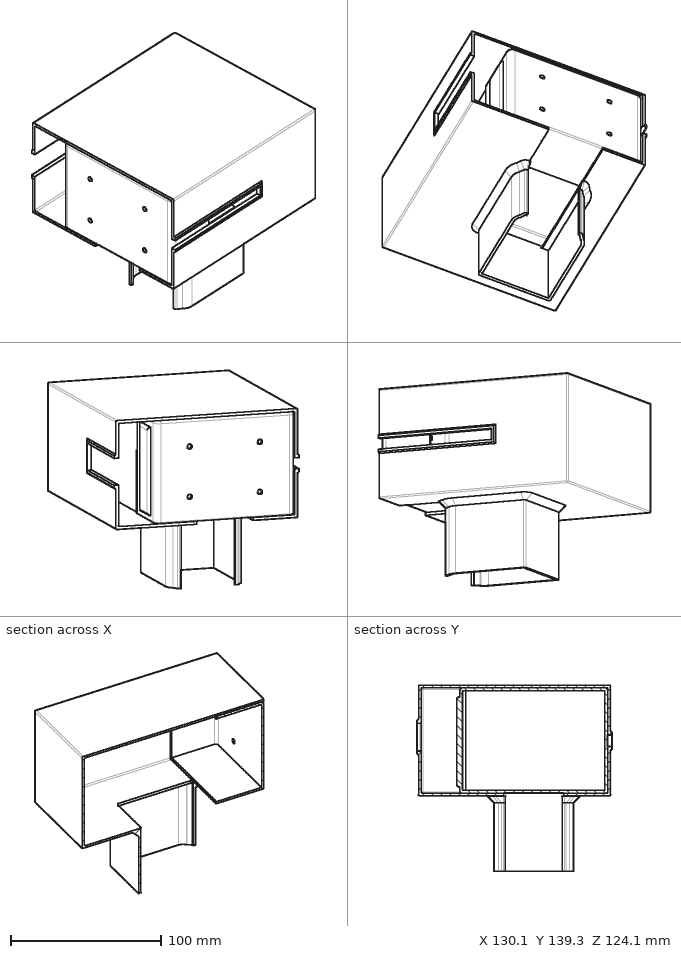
import cadquery as cq

BOX_WIDTH = 128.05
BOX_DEPTH = 139.3
BOX_HEIGHT = 74.0
WALL = 2.0
EDGE_RADIUS = 1.0
CAVITY_WIDTH = BOX_WIDTH - 2 * WALL
CAVITY_DEPTH = BOX_DEPTH - WALL
CAVITY_HEIGHT = BOX_HEIGHT - 2 * WALL
MID_HEIGHT = BOX_HEIGHT / 2

FRAME_HEIGHT = 1.0
FRAME_RIM = 1.75
LEFT_WINDOW_LENGTH = 55.0
LEFT_WINDOW_HEIGHT = 18.25
LEFT_WINDOW_Z = MID_HEIGHT + 2.25
LEFT_WINDOW_END_RADIUS = 1.1
RIGHT_WINDOW_LENGTH = 83.5
RIGHT_WINDOW_HEIGHT = 7.5
RIGHT_WINDOW_Z = MID_HEIGHT - 0.25

COVER_WIDTH = 98.5
COVER_DEPTH = 36.4
COVER_WALL = 2.0
COVER_SIDE_RADIUS = 4.0
COVER_TOP_RADIUS = 2.0
COVER_BOTTOM_RADIUS = 1.0
COVER_RIGHT = CAVITY_WIDTH / 2
COVER_LEFT = COVER_RIGHT - COVER_WIDTH
COVER_MID = (COVER_LEFT + COVER_RIGHT) / 2

RIB_HEIGHT = 60.0
RIB_LENGTH = 18.5
RIB_FRONT = 8.7
RIB_THICKNESS = 2.0
RIB_RADIUS = 1.95
COVER_FEATURE_Z = MID_HEIGHT - 1.0

HOLE_DIAMETER = 3.3
HOLE_SPACING_X = 49.5
HOLE_SPACING_Z = 34.0

HANDLE_WIDTH = 53.0
HANDLE_FRONT = 34.2
HANDLE_LENGTH = 61.7
HANDLE_DROP = 50.1
HANDLE_WALL = 2.0
HANDLE_REAR_RADIUS = 1.25
HANDLE_NOSE_RADIUS = 1.4
FLARE = 4.5
FLARE_ANGLE = 45.0
OPENING_WIDTH = 38.0
FLOOR_SLOT_WIDTH = 39.8
FLOOR_SLOT_RADIUS = 1.2
CHEEK_LENGTH = 10.2
CHEEK_INSET = 2.85
NOSE_LENGTH = 3.9
NOSE_INSET = 5.45
HANDLE_REAR = HANDLE_FRONT + HANDLE_LENGTH

PARTITION_INSET = 2.0
PARTITION_THICKNESS = 2.0
CATCH_LENGTH = 4.9
CATCH_TOP = BOX_HEIGHT - 29.6
CATCH_THICKNESS = 1.0


def corner_box(x, y, z, width, depth, height):
    """Box whose lowest corner sits at (x, y, z)."""
    return cq.Workplane("XY").box(width, depth, height, centered=False).translate((x, y, z))


def make_cavity():
    """Space inside the box, open at the front."""
    block = corner_box(-CAVITY_WIDTH / 2, 0, WALL, CAVITY_WIDTH, CAVITY_DEPTH, CAVITY_HEIGHT)
    return block.edges("not <Y").fillet(EDGE_RADIUS)


def window_frame(side, length, height, z):
    """Raised frame around a side window; side is -1 for left and +1 for right."""
    base_length = length + FRAME_RIM + FRAME_HEIGHT
    base_height = height + 2 * (FRAME_RIM + FRAME_HEIGHT)
    outer = side * (BOX_WIDTH / 2 + FRAME_HEIGHT)
    inner = side * ((BOX_WIDTH - WALL) / 2)
    frame = corner_box(
        min(outer, inner), 0, z - base_height / 2, abs(outer - inner), base_length, base_height
    )
    rim = frame.faces("<X" if side < 0 else ">X").edges("not <Y")
    return rim.chamfer(FRAME_HEIGHT)


def window_cut(side, length, height, z):
    """Opening through a side wall and its frame."""
    inner = side * CAVITY_WIDTH / 2
    outer = side * (BOX_WIDTH / 2 + FRAME_HEIGHT)
    return corner_box(min(inner, outer), 0, z - height / 2, abs(outer - inner), length, height)


def handle_prism():
    """Solid handle: flat sides, curved cheeks and a tapered nose on each side of the front."""
    half = HANDLE_WIDTH / 2
    cheek_end = (half - CHEEK_INSET, HANDLE_FRONT + NOSE_LENGTH)
    nose_x = half - NOSE_INSET
    half_outline = (
        cq.Workplane("XY")
        .moveTo(0, HANDLE_REAR)
        .lineTo(half, HANDLE_REAR)
        .lineTo(half, HANDLE_FRONT + CHEEK_LENGTH)
        .tangentArcPoint(cheek_end, relative=False)
        .lineTo(nose_x, HANDLE_FRONT)
        .lineTo(0, HANDLE_FRONT)
    )
    prism = half_outline.mirrorY().extrude(-HANDLE_DROP)
    prism = prism.edges("|Z and >Y").fillet(HANDLE_REAR_RADIUS)
    return prism.edges("|Z and <Y").fillet(HANDLE_NOSE_RADIUS)


def make_handle():
    """Handle tube with its flare under the box, open at the front and at the lower end."""
    prism = handle_prism()
    outline = prism.faces(">Z").wires().val()
    neck = outline.translate(cq.Vector(0, 0, -FLARE))
    flare_plane = cq.Workplane("XY", origin=(0, 0, -FLARE))
    flare = flare_plane.add(neck).toPending().extrude(FLARE, taper=-FLARE_ANGLE)
    bore = cq.Workplane("XY").add(outline.offset2D(-HANDLE_WALL)).toPending().extrude(-HANDLE_DROP)
    opening = corner_box(
        -OPENING_WIDTH / 2,
        HANDLE_FRONT - FLARE,
        -HANDLE_DROP,
        OPENING_WIDTH,
        FLARE + HANDLE_LENGTH / 2,
        HANDLE_DROP,
    )
    return prism.union(flare).cut(bore).cut(opening).translate((COVER_MID, 0, 0))


def make_floor_slot():
    """Slot in the box floor, from the front edge back to the rear wall of the handle."""
    length = HANDLE_REAR - HANDLE_WALL
    slot = corner_box(COVER_MID - FLOOR_SLOT_WIDTH / 2, 0, 0, FLOOR_SLOT_WIDTH, length, WALL)
    return slot.edges("|Z and >Y").fillet(FLOOR_SLOT_RADIUS)


def make_housing():
    box = corner_box(-BOX_WIDTH / 2, 0, 0, BOX_WIDTH, BOX_DEPTH, BOX_HEIGHT)
    box = box.edges("not <Y").fillet(EDGE_RADIUS)
    left = (-1, LEFT_WINDOW_LENGTH, LEFT_WINDOW_HEIGHT, LEFT_WINDOW_Z)
    right = (1, RIGHT_WINDOW_LENGTH, RIGHT_WINDOW_HEIGHT, RIGHT_WINDOW_Z)
    for window in (left, right):
        box = box.union(window_frame(*window))
    box = box.cut(make_cavity())
    for window in (left, right):
        box = box.cut(window_cut(*window))
    rounded_edge = cq.selectors.NearestToPointSelector(
        (-CAVITY_WIDTH / 2, LEFT_WINDOW_LENGTH, LEFT_WINDOW_Z)
    )
    box = box.edges("|Z").edges(rounded_edge).fillet(LEFT_WINDOW_END_RADIUS)
    return box.union(make_handle()).cut(make_floor_slot())


def make_cover():
    """Shell open at the rear, with a rounded front, a grip rib and four screw holes."""
    body = corner_box(COVER_LEFT, 0, WALL, COVER_WIDTH, COVER_DEPTH, CAVITY_HEIGHT)
    body = body.edges("|Z and <Y").fillet(COVER_SIDE_RADIUS)
    body = body.faces(">Z").edges("not >Y").fillet(COVER_TOP_RADIUS)
    body = body.faces("<Z").edges("not >Y").fillet(COVER_BOTTOM_RADIUS)
    hollow = corner_box(
        COVER_LEFT + COVER_WALL,
        COVER_WALL,
        WALL + COVER_WALL,
        COVER_WIDTH - 2 * COVER_WALL,
        COVER_DEPTH - COVER_WALL,
        CAVITY_HEIGHT - 2 * COVER_WALL,
    )
    hollow = hollow.edges("|Z and <Y").fillet(COVER_SIDE_RADIUS - COVER_WALL)
    rib = corner_box(
        COVER_LEFT - RIB_THICKNESS,
        RIB_FRONT,
        COVER_FEATURE_Z - RIB_HEIGHT / 2,
        RIB_THICKNESS + COVER_WALL,
        RIB_LENGTH,
        RIB_HEIGHT,
    )
    rib = rib.faces("<X").edges().fillet(RIB_RADIUS)
    holes = (
        cq.Workplane("XZ", origin=(COVER_MID, 0, COVER_FEATURE_Z))
        .rarray(HOLE_SPACING_X, HOLE_SPACING_Z, 2, 2)
        .circle(HOLE_DIAMETER / 2)
        .extrude(-COVER_WALL)
    )
    return body.cut(hollow).union(rib).cut(holes)


def make_partition():
    """Upright wall from the cover to the back of the box, with a catch at its front."""
    left = COVER_LEFT + PARTITION_INSET
    length = CAVITY_DEPTH - COVER_DEPTH
    wall = corner_box(left, COVER_DEPTH, WALL, PARTITION_THICKNESS, length, CAVITY_HEIGHT)
    catch = corner_box(
        left - CATCH_THICKNESS, COVER_DEPTH, WALL, CATCH_THICKNESS, CATCH_LENGTH, CATCH_TOP - WALL
    )
    return wall.union(catch).intersect(make_cavity())


housing = make_housing()
cover = make_cover()
partition = make_partition()
result = cq.Compound.makeCompound([housing.val(), cover.val(), partition.val()])